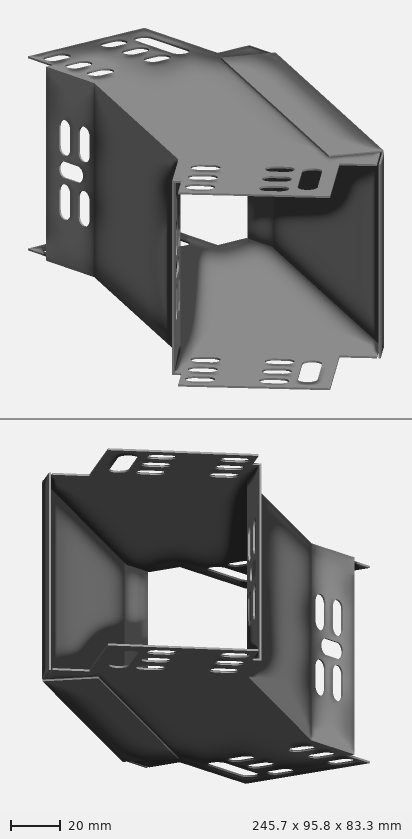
import cadquery as cq
import math

BEND_ANGLE = 22.5
SHEET = 0.8
HEIGHT = 83.3
LENGTH = 95.8
WIDTH = 245.7
TRAY_HEIGHT = HEIGHT - 2 * SHEET

WALL_END_OUT = 30.0
TONGUE_OUT = 45.7
TONGUE_FRONT = 3.7
TONGUE_BACK = 65.0
BACK_CLEARANCE = 0.7

SMALL_SLOT_LENGTH = 12.0
SMALL_SLOT_WIDTH = 7.1
SMALL_SLOT_OUT = 23.5
SMALL_SLOT_PITCH = 13.5
SMALL_SLOT_ROWS = (11.8, 41.8)
LONG_SLOT_LENGTH = 30.0
LONG_SLOT_WIDTH = 8.0
LONG_SLOT_OUT = 22.8
LONG_SLOT_ACROSS = 55.0

WALL_SLOT_LENGTH = 15.0
WALL_SLOT_WIDTH = 7.0
WALL_SLOT_COLUMNS = (6.5, 18.5)
WALL_SLOT_Z = 13.5
CENTRE_SLOT_OUT = 14.5
UPRIGHT = 90
LEVEL = 0

FLANGE_DEPTH = 23.0
FLANGE_LENGTH = 143.0

SIN = math.sin(math.radians(BEND_ANGLE))
COS = math.cos(math.radians(BEND_ANGLE))
HALF_TAN = math.tan(math.radians(BEND_ANGLE / 2))

BEND_X = WIDTH / 2 - TONGUE_OUT * COS - TONGUE_BACK * SIN
DEPTH = LENGTH - TONGUE_OUT * SIN + TONGUE_FRONT * COS
PLATE_DEPTH = DEPTH - SHEET - BACK_CLEARANCE


def end_point(out, across):
    """Plan position of a point given in the directions of the +X end."""
    return (BEND_X + out * COS + across * SIN, -out * SIN + across * COS)


def bend_point(across):
    """Plan position of the +X bend corner of a sheet face at the given depth."""
    return (BEND_X + across * HALF_TAN, across)


def symmetric_prism(right_points, height):
    """Prism centred on Z = 0, from the +X half of its outline and that half's mirror image."""
    left_points = [(-x, y) for x, y in reversed(right_points)]
    return (
        cq.Workplane("XY")
        .polyline(right_points + left_points)
        .close()
        .extrude(height / 2, both=True)
    )


def bent_wall(outer, inner, end_out, height):
    """Wall with its two ends bent, between two depths."""
    points = [
        bend_point(outer),
        end_point(end_out, outer),
        end_point(end_out, inner),
        bend_point(inner),
    ]
    return symmetric_prism(points, height)


def on_both_ends(cutter):
    """A cutter for the +X end, together with its mirror image."""
    return cutter.union(cutter.mirror("YZ"))


def tongue_slot(out, across, length, width, direction):
    """Slot through both plates; direction is its angle in plan."""
    return (
        cq.Workplane("XY")
        .center(*end_point(out, across))
        .slot2D(length, width, direction)
        .extrude(HEIGHT, both=True)
    )


def wall_slot(out, z, direction):
    """Slot through the bent end of the front wall; direction is UPRIGHT or LEVEL."""
    x, y = end_point(out, 0)
    wall_face = cq.Plane(origin=(x, y, z), xDir=(COS, -SIN, 0), normal=(-SIN, -COS, 0))
    return (
        cq.Workplane(wall_face)
        .slot2D(WALL_SLOT_LENGTH, WALL_SLOT_WIDTH, direction)
        .extrude(2 * SHEET, both=True)
    )


def make_tray():
    plate_outline = [
        bend_point(0),
        end_point(WALL_END_OUT, 0),
        end_point(WALL_END_OUT, TONGUE_FRONT),
        end_point(TONGUE_OUT, TONGUE_FRONT),
        end_point(TONGUE_OUT, TONGUE_BACK),
        end_point(0, TONGUE_BACK),
        end_point(0, PLATE_DEPTH),
        bend_point(PLATE_DEPTH),
    ]
    plates = symmetric_prism(plate_outline, TRAY_HEIGHT).cut(
        symmetric_prism(plate_outline, TRAY_HEIGHT - 2 * SHEET)
    )
    tray = plates.union(bent_wall(0, SHEET, WALL_END_OUT, TRAY_HEIGHT))

    along = -BEND_ANGLE
    crosswise = 90 - BEND_ANGLE
    for row in SMALL_SLOT_ROWS:
        for step in (-1, 0, 1):
            out = SMALL_SLOT_OUT + step * SMALL_SLOT_PITCH
            slot = tongue_slot(out, row, SMALL_SLOT_LENGTH, SMALL_SLOT_WIDTH, crosswise)
            tray = tray.cut(on_both_ends(slot))
    long_slot = tongue_slot(LONG_SLOT_OUT, LONG_SLOT_ACROSS, LONG_SLOT_LENGTH, LONG_SLOT_WIDTH, along)
    tray = tray.cut(on_both_ends(long_slot))

    for out in WALL_SLOT_COLUMNS:
        for z in (-WALL_SLOT_Z, WALL_SLOT_Z):
            tray = tray.cut(on_both_ends(wall_slot(out, z, UPRIGHT)))
    return tray.cut(on_both_ends(wall_slot(CENTRE_SLOT_OUT, 0, LEVEL)))


def make_cover():
    cover = bent_wall(DEPTH, DEPTH - SHEET, 0, TRAY_HEIGHT)
    for bottom in (-HEIGHT / 2, HEIGHT / 2 - SHEET):
        flange = (
            cq.Workplane("XY", origin=(0, DEPTH - FLANGE_DEPTH / 2, bottom))
            .rect(FLANGE_LENGTH, FLANGE_DEPTH)
            .extrude(SHEET)
        )
        cover = cover.union(flange)
    return cover


tray = make_tray()
cover = make_cover()
result = cq.Compound.makeCompound([tray.val(), cover.val()])